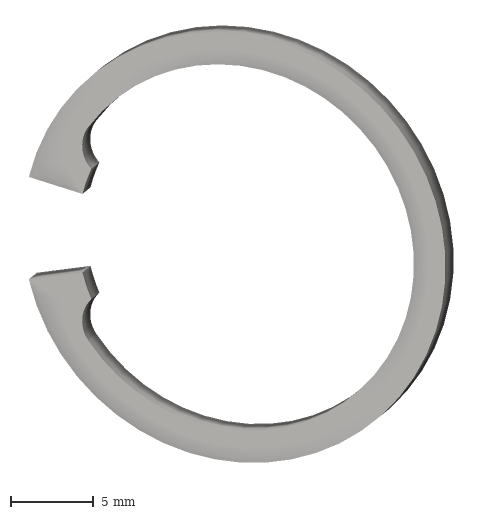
import cadquery as cq
import math

outer_radius = 13.5
inner_radius = 11.47
thickness = 1.5

lug_radius = 9.98
gap_half_angle = math.radians(13.8)
lug_end_half_angle = math.radians(14.3)
lug_tip_half_angle = math.radians(24.2)
relief_radius = 2.02

relief_center_distance = inner_radius - relief_radius
relief_half_angle = lug_tip_half_angle + math.acos(
    (relief_center_distance**2 + lug_radius**2 - relief_radius**2)
    / (2 * relief_center_distance * lug_radius)
)


def ring_point(radius, angle, side):
    """Point at an angle from -X, on the upper (side=1) or lower (side=-1) half."""
    return (-radius * math.cos(angle), side * radius * math.sin(angle))


def relief_midpoint(side):
    """Point halfway along the relief arc, between its tangent point and the lug tip."""
    center_x, center_z = ring_point(relief_center_distance, relief_half_angle, side)
    tip_x, tip_z = ring_point(lug_radius, lug_tip_half_angle, side)
    tangent_x, tangent_z = ring_point(inner_radius, relief_half_angle, side)
    toward_x = (tip_x + tangent_x) / 2 - center_x
    toward_z = (tip_z + tangent_z) / 2 - center_z
    stretch = relief_radius / math.hypot(toward_x, toward_z)
    return (center_x + stretch * toward_x, center_z + stretch * toward_z)


lug_middle_half_angle = (lug_end_half_angle + lug_tip_half_angle) / 2

profile = (
    cq.Workplane("XZ", origin=(0, thickness / 2, 0))
    .moveTo(*ring_point(outer_radius, gap_half_angle, 1))
    .threePointArc((outer_radius, 0), ring_point(outer_radius, gap_half_angle, -1))
    .lineTo(*ring_point(lug_radius, lug_end_half_angle, -1))
    .threePointArc(
        ring_point(lug_radius, lug_middle_half_angle, -1),
        ring_point(lug_radius, lug_tip_half_angle, -1),
    )
    .threePointArc(relief_midpoint(-1), ring_point(inner_radius, relief_half_angle, -1))
    .threePointArc((inner_radius, 0), ring_point(inner_radius, relief_half_angle, 1))
    .threePointArc(relief_midpoint(1), ring_point(lug_radius, lug_tip_half_angle, 1))
    .threePointArc(
        ring_point(lug_radius, lug_middle_half_angle, 1),
        ring_point(lug_radius, lug_end_half_angle, 1),
    )
    .close()
)

result = profile.extrude(thickness)